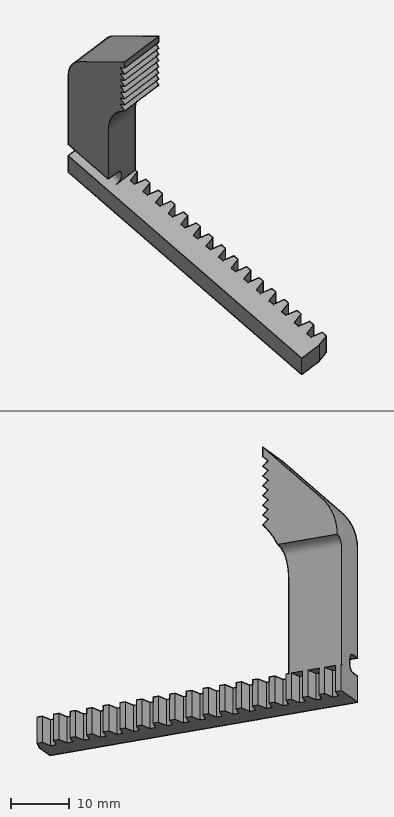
import cadquery as cq
import math

bar_length = 58.25
bar_depth = 6.3
bar_height = 4.8

tooth_count = 19
rack_span = 56.55
tooth_pitch = rack_span / (tooth_count - 1)
tooth_height = 2.1
tip_width = 1.05
flank_angle = math.radians(14)
root_width = tip_width + 2 * tooth_height * math.tan(flank_angle)
last_tooth_end = 58.2

arm_width = 10.0
head_reach = 14.1
head_depth = 8.0
total_height = 46.1
lean = math.radians(45)
outer_bend_radius = 10.0

jaw_height = 14.2
serration_count = 7
serration_pitch = jaw_height / (serration_count + 1)
serration_depth = 1.0

slot_depth = 3.0
slot_height = 3.25
slot_corner_radius = 1.15

outer_bend_rise = outer_bend_radius * math.sin(lean)
outer_bend_shift = outer_bend_radius * (1 - math.cos(lean))
outer_bend_end = total_height - (head_reach - outer_bend_shift) * math.tan(lean)
outer_bend_start = outer_bend_end - outer_bend_rise
inner_bend_radius = (head_reach - arm_width) / (1 - math.cos(lean))
jaw_bottom = total_height - jaw_height
inner_bend_start = jaw_bottom - inner_bend_radius * math.sin(lean)


def bend_point(start_x, start_z, radius, angle):
    """Point on a bend that starts vertical and curves toward +X."""
    return (start_x + radius * (1 - math.cos(angle)), start_z + radius * math.sin(angle))


def make_bar():
    """Bar with rack teeth on its back; the first tooth is cut off by the end of the bar."""
    root_y = bar_depth - tooth_height
    bar = cq.Workplane("XY").box(bar_length, root_y, bar_height, centered=False)
    envelope = cq.Workplane("XY").box(bar_length, bar_depth, bar_height, centered=False)
    for index in range(tooth_count):
        center = last_tooth_end - root_width / 2 - index * tooth_pitch
        tooth = (
            cq.Workplane("XY")
            .moveTo(center - root_width / 2, 0)
            .lineTo(center - root_width / 2, root_y)
            .lineTo(center - tip_width / 2, bar_depth)
            .lineTo(center + tip_width / 2, bar_depth)
            .lineTo(center + root_width / 2, root_y)
            .lineTo(center + root_width / 2, 0)
            .close()
            .extrude(bar_height)
        )
        bar = bar.union(tooth.intersect(envelope))
    return bar


def make_arm():
    """Arm and head outline in XZ, extruded from the front face (y = 0) to the back of the head."""
    outline = (
        cq.Workplane("XZ")
        .moveTo(0, bar_height)
        .lineTo(0, outer_bend_start)
        .threePointArc(
            bend_point(0, outer_bend_start, outer_bend_radius, lean / 2),
            bend_point(0, outer_bend_start, outer_bend_radius, lean),
        )
        .lineTo(head_reach, total_height)
    )
    for index in range(serration_count):
        tip_z = total_height - (index + 1) * serration_pitch
        outline = outline.lineTo(head_reach, tip_z)
        outline = outline.lineTo(head_reach - serration_depth, tip_z - serration_pitch / 2)
    return (
        outline.lineTo(head_reach, jaw_bottom)
        .threePointArc(
            bend_point(arm_width, inner_bend_start, inner_bend_radius, lean / 2),
            (arm_width, inner_bend_start),
        )
        .lineTo(arm_width, bar_height)
        .close()
        .extrude(-head_depth)
    )


def make_back_relief():
    """Material behind the thinner arm, ending in a concave quarter round under the head."""
    relief_radius = head_depth - bar_depth
    straight_top = outer_bend_start - relief_radius
    arc_offset = relief_radius * math.sin(math.pi / 4)
    return (
        cq.Workplane("YZ")
        .moveTo(bar_depth, 0)
        .lineTo(bar_depth, straight_top)
        .threePointArc(
            (head_depth - arc_offset, straight_top + arc_offset),
            (head_depth, outer_bend_start),
        )
        .lineTo(head_depth, 0)
        .close()
        .extrude(head_reach)
    )


def make_slot():
    """Slot open at the front of the arm, with both inner corners rounded."""
    return (
        cq.Workplane("XY", origin=(0, 0, bar_height))
        .box(arm_width, slot_depth, slot_height, centered=False)
        .edges("|X and >Y")
        .fillet(slot_corner_radius)
    )


arm = make_arm().cut(make_back_relief()).cut(make_slot())
result = make_bar().union(arm)